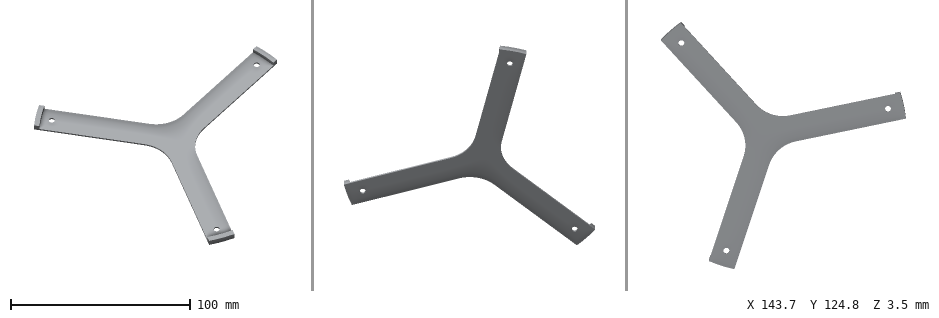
import cadquery as cq

ARM_COUNT = 3
FIRST_ARM_ANGLE = 90.0
ARM_WIDTH = 15.0
OUTER_RADIUS = 79.0
LIP_THICKNESS = 3.0
PLATE_THICKNESS = 1.0
TOTAL_HEIGHT = 3.5
HUB_FILLET_RADIUS = 20.0
HOLE_DIAMETER = 3.3
HOLE_CIRCLE_RADIUS = 70.0

LIP_INNER_RADIUS = OUTER_RADIUS - LIP_THICKNESS
ARM_ANGLES = [FIRST_ARM_ANGLE + i * 360.0 / ARM_COUNT for i in range(ARM_COUNT)]


def make_star(height):
    """Arms of equal width meeting at the origin, with rounded corners between them."""
    arm = cq.Workplane("XY").box(OUTER_RADIUS, ARM_WIDTH, height, centered=(False, True, False))
    star = cq.Workplane("XY")
    for angle in ARM_ANGLES:
        star = star.union(arm.rotate((0, 0, 0), (0, 0, 1), angle))
    hub_zone = cq.selectors.BoxSelector(
        (-ARM_WIDTH, -ARM_WIDTH, -height), (ARM_WIDTH, ARM_WIDTH, 2 * height)
    )
    star = star.edges("|Z").edges(hub_zone).fillet(HUB_FILLET_RADIUS)
    return star.intersect(cq.Workplane("XY").circle(OUTER_RADIUS).extrude(height))


def cut_above_plate(body):
    """Lower everything inside the lips to the plate thickness."""
    pocket = (
        cq.Workplane("XY")
        .workplane(offset=PLATE_THICKNESS)
        .circle(LIP_INNER_RADIUS)
        .extrude(TOTAL_HEIGHT - PLATE_THICKNESS)
    )
    return body.cut(pocket)


def cut_arm_holes(body):
    """One through hole near the end of each arm."""
    holes = (
        cq.Workplane("XY")
        .polarArray(HOLE_CIRCLE_RADIUS, FIRST_ARM_ANGLE, 360.0, ARM_COUNT)
        .circle(HOLE_DIAMETER / 2)
        .extrude(TOTAL_HEIGHT)
    )
    return body.cut(holes)


result = cut_arm_holes(cut_above_plate(make_star(TOTAL_HEIGHT)))